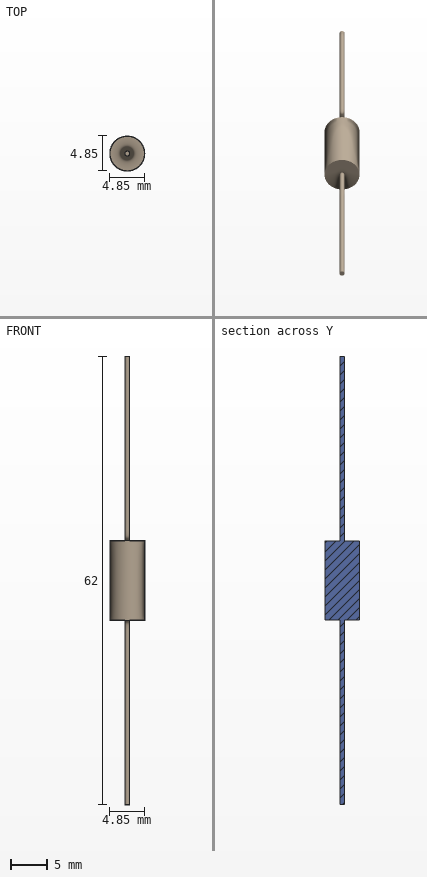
import cadquery as cq

overall_length = 62.0
body_diameter = 4.85
body_length = 11.05
lead_diameter = 0.7


def centred_cylinder(diameter, length):
    """Cylinder along Z, centred on the origin."""
    return cq.Workplane("XY").cylinder(length, diameter / 2)


body = centred_cylinder(body_diameter, body_length)
leads = centred_cylinder(lead_diameter, overall_length)

result = body.union(leads)